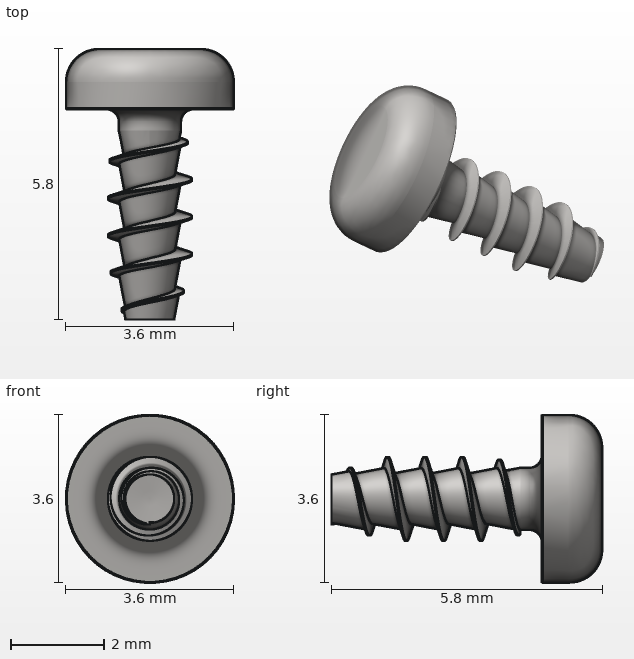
import cadquery as cq
import math

head_radius = 1.8
head_height = 1.3
head_dome_radius = 0.72
head_edge_drop = 0.03
head_edge_inset = 0.02
shank_length = 4.5
neck_radius = 0.67
neck_fillet = 0.25
neck_end = 0.45
tip_radius = 0.525
dimple_radius = 0.49
dimple_depth = 0.03
end_crest_radius = 0.55

pitch = 0.8
crest_radius = 0.9
crest_width = 0.03
flank_slope = 0.28
root_high = 0.66
root_low = 0.545
taper_length = 0.6
root_slope = (root_high - root_low) / taper_length
start_crest_radius = 0.75
turn_count = 5.25
runin_turns = 1.25
runout_turns = 1.5
turn_gap = 0.003
core_radius = 0.5
thread_inner_radius = 0.3
sections_per_turn = 16


def make_head_and_core():
    """Revolved head, neck fillet, neck, run-in cone and a core that runs past the tip plane."""
    arc_mid = math.sqrt(0.5)
    dome_centre_r = head_radius - head_dome_radius
    dome_centre_y = head_height - head_dome_radius
    fillet_centre_r = neck_radius + neck_fillet
    cone_end = neck_end + (neck_radius - core_radius) / root_slope
    core_end = shank_length + pitch
    profile = (
        cq.Workplane("ZY")
        .moveTo(0, head_height)
        .lineTo(dome_centre_r, head_height)
        .threePointArc(
            (dome_centre_r + head_dome_radius * arc_mid, dome_centre_y + head_dome_radius * arc_mid),
            (head_radius, dome_centre_y),
        )
        .lineTo(head_radius, head_edge_drop)
        .lineTo(head_radius - head_edge_inset, 0)
        .lineTo(fillet_centre_r, 0)
        .threePointArc(
            (fillet_centre_r - neck_fillet * arc_mid, -neck_fillet + neck_fillet * arc_mid),
            (neck_radius, -neck_fillet),
        )
        .lineTo(neck_radius, -neck_end)
        .lineTo(core_radius, -cone_end)
        .lineTo(core_radius, -core_end)
        .lineTo(0, -core_end)
        .close()
    )
    return profile.revolve(360, (0, 0, 0), (0, 1, 0))


def crest_at(turn):
    """Crest radius after the given number of turns from the head end."""
    full_to_tip = (turn_count - turn) / runout_turns
    shrinking = end_crest_radius + (crest_radius - end_crest_radius) * full_to_tip
    growing = start_crest_radius + (crest_radius - start_crest_radius) * turn / runin_turns
    return min(crest_radius, shrinking, growing)


def root_at(turn):
    """High root radius; over the last turn it falls so that the tip ends as a plain cone."""
    return min(root_high, tip_radius + (root_high - tip_radius) * (turn_count - turn))


def ridge_centre(turn):
    """Axial position of the crest."""
    return -shank_length + pitch * (turn_count - turn)


def head_side_base(turn):
    """Axial position where the head-side flank meets the low root."""
    return ridge_centre(turn) + crest_width / 2 + flank_slope * max(crest_at(turn) - root_low, 0)


def thread_section(turn):
    """Closed wire of one pitch of thread: ridge plus the sloping root on its tip side."""
    crest = crest_at(turn)
    high = root_at(turn)
    centre = ridge_centre(turn)
    half_crest = crest_width / 2
    head_base = head_side_base(turn)
    tip_base = centre - half_crest - flank_slope * (crest - high)
    tail_end = head_side_base(turn + 1) + turn_gap
    tail_radius = high - root_slope * (tip_base - tail_end)
    outline = [
        (thread_inner_radius, head_base),
        (root_low, head_base),
        (crest, centre + half_crest),
        (crest, centre - half_crest),
        (high, tip_base),
        (tail_radius, tail_end),
        (thread_inner_radius, tail_end),
    ]
    angle = 2 * math.pi * (turn - turn_count)
    points = [cq.Vector(r * math.sin(angle), y, -r * math.cos(angle)) for r, y in outline]
    return cq.Wire.makePolygon(points, close=True)


def make_thread():
    """Helical loft cut square where the neck ends; its last turn runs past the tip plane."""
    count = round(turn_count * sections_per_turn)
    sections = [thread_section(i / sections_per_turn) for i in range(count + 1)]
    thread = cq.Workplane(cq.Solid.makeLoft(sections, False))
    neck_trim = cq.Workplane("XZ").circle(head_radius).extrude(neck_end)
    return thread.cut(neck_trim)


def make_tip_trim():
    """Block that cuts everything beyond the tip plane."""
    return cq.Workplane("XZ", origin=(0, -shank_length, 0)).circle(head_radius).extrude(2 * pitch)


def make_tip_dimple():
    """Flat cone that leaves a shallow conical hollow in the tip face."""
    profile = (
        cq.Workplane("ZY", origin=(0, -shank_length, 0))
        .lineTo(dimple_radius, 0)
        .lineTo(0, dimple_depth)
        .close()
    )
    return profile.revolve(360, (0, 0, 0), (0, 1, 0))


screw_body = make_head_and_core().union(make_thread())
result = screw_body.cut(make_tip_trim()).cut(make_tip_dimple())